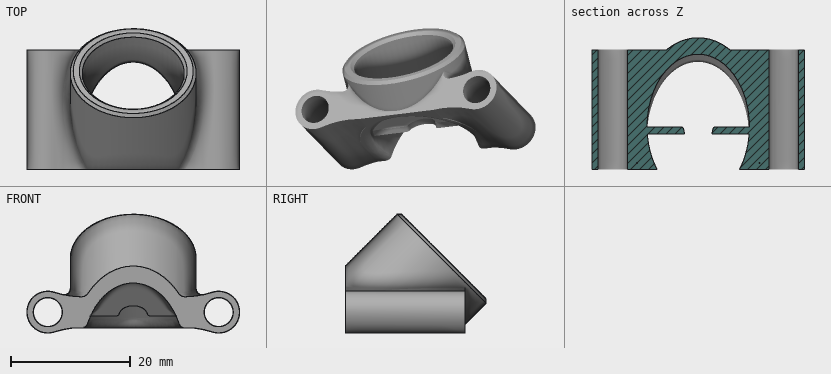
import cadquery as cq
import math

overall_width = 35.5
lug_diameter = 7.0
lug_hole_diameter = 4.8
lug_length = 20.0
lug_radius = lug_diameter / 2
lug_x = overall_width / 2 - lug_radius

web_half_thickness = 2.55
blend_radius = 15.0
seat_x = 6.55

tube_diameter = 21.0
bore_diameter = 17.0
tube_tilt = 45
axis_height_at_front = -7.17
rim_y_plus_z = 25.7
rim_chamfer = 0.5
edge_fillet = 1.0

shelf_depth = 14.0
shelf_thickness = 1.0
shelf_notch_diameter = 4.8
shelf_corner_fillet = 0.5
shelf_overlap = 0.35

selection_margin = 0.35

rim_center_y = (rim_y_plus_z - axis_height_at_front) / 2
rim_center_z = rim_y_plus_z - rim_center_y
tilt = math.radians(tube_tilt)
rim_plane = cq.Plane(
    origin=(0, rim_center_y, rim_center_z),
    xDir=(-1, 0, 0),
    normal=(0, math.cos(tilt), math.sin(tilt)),
)
tube_length = 2 * rim_y_plus_z

blend_center_z = web_half_thickness + blend_radius
center_distance = lug_radius + blend_radius
blend_center_x = lug_x - math.sqrt(center_distance**2 - blend_center_z**2)
touch_x = lug_x + (blend_center_x - lug_x) * lug_radius / center_distance
touch_z = blend_center_z * lug_radius / center_distance
seat_z = blend_center_z - math.sqrt(blend_radius**2 - (blend_center_x - seat_x)**2)


def rim_cylinder(diameter):
    """Cylinder on the tube axis, running from the rim down past the part."""
    return cq.Workplane(rim_plane).circle(diameter / 2).extrude(-tube_length)


def make_web():
    """Web and drilled lugs, extruded from the front plane towards +Y."""
    profile = (
        cq.Workplane("XZ")
        .moveTo(-seat_x, seat_z)
        .lineTo(seat_x, seat_z)
        .threePointArc((blend_center_x, web_half_thickness), (touch_x, touch_z))
        .threePointArc((overall_width / 2, 0), (touch_x, -touch_z))
        .threePointArc((blend_center_x, -web_half_thickness), (seat_x, -seat_z))
        .lineTo(-seat_x, -seat_z)
        .threePointArc((-blend_center_x, -web_half_thickness), (-touch_x, -touch_z))
        .threePointArc((-overall_width / 2, 0), (-touch_x, touch_z))
        .threePointArc((-blend_center_x, web_half_thickness), (-seat_x, seat_z))
        .close()
    )
    holes = (
        cq.Workplane("XZ")
        .pushPoints([(-lug_x, 0), (lug_x, 0)])
        .circle(lug_hole_diameter / 2)
        .extrude(-lug_length)
    )
    return profile.extrude(-lug_length).cut(holes)


def make_tube():
    """Solid tube, trimmed by the front plane and the underside of the web."""
    rim_face = cq.selectors.NearestToPointSelector((0, rim_center_y, rim_center_z))
    tube = rim_cylinder(tube_diameter).faces(rim_face).chamfer(rim_chamfer)
    room = cq.Workplane("XY", origin=(0, 0, -seat_z)).box(
        overall_width, tube_length, tube_length, centered=(True, False, False)
    )
    return tube.intersect(room)


def fillet_tube_joint(body):
    """Round the concave joints where the tube rises out of the web's upper side."""
    joint_zone = cq.selectors.BoxSelector(
        (-tube_diameter / 2, 0, seat_z - selection_margin),
        (tube_diameter / 2, lug_length, lug_radius),
    )
    return body.edges("%BSPLINE").edges(joint_zone).fillet(edge_fillet)


def cut_bore(body):
    """Bore the tube through and round the bore's edge on the underside."""
    body = body.cut(rim_cylinder(bore_diameter))
    underside_zone = cq.selectors.BoxSelector(
        (-bore_diameter / 2, selection_margin, -lug_radius),
        (bore_diameter / 2, lug_length - selection_margin, selection_margin - seat_z),
    )
    return body.edges(underside_zone).edges("not |Y").fillet(edge_fillet)


def make_mouth_chamfer():
    """Cone that bevels the inner edge of the rim."""
    bore_radius = bore_diameter / 2
    cone = cq.Solid.makeCone(
        bore_radius + rim_chamfer, bore_radius, rim_chamfer, rim_plane.origin, -rim_plane.zDir
    )
    return cq.Workplane(cone)


def make_shelf():
    """Upper half disc with a half-round, round-cornered notch at the tube axis."""
    disc_radius = bore_diameter / 2 + shelf_overlap
    notch_radius = shelf_notch_diameter / 2
    shelf = (
        cq.Workplane(rim_plane)
        .workplane(offset=-shelf_depth)
        .moveTo(-disc_radius, 0)
        .threePointArc((0, disc_radius), (disc_radius, 0))
        .lineTo(notch_radius, 0)
        .threePointArc((0, notch_radius), (-notch_radius, 0))
        .close()
        .extrude(shelf_thickness)
    )
    notch_zone = cq.selectors.BoxSelector(
        (-notch_radius - selection_margin, -tube_length, -tube_length),
        (notch_radius + selection_margin, tube_length, tube_length),
    )
    return shelf.edges(notch_zone).edges("%LINE").edges("not |X").fillet(shelf_corner_fillet)


body = fillet_tube_joint(make_web().union(make_tube()))
body = cut_bore(body).cut(make_mouth_chamfer())
result = body.union(make_shelf())